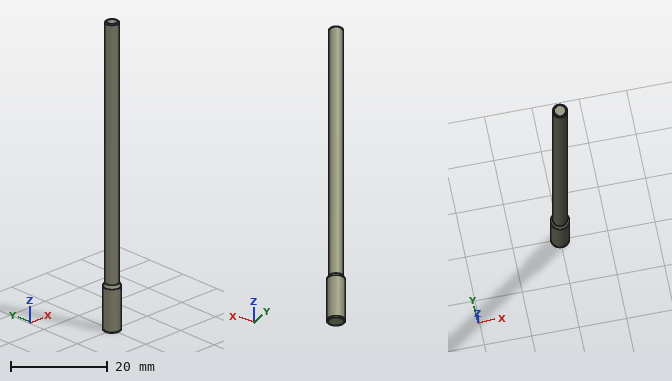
import cadquery as cq

total_length = 70.0
shank_diameter = 3.0
head_diameter = 3.9
head_length = 10.0
taper_length = 0.8
shank_chamfer = 0.3
head_chamfer = 0.3

bottom_z = -total_length / 2
top_z = total_length / 2
joint_z = bottom_z + head_length
taper_top_z = joint_z + taper_length

head_radius = head_diameter / 2
shank_radius = shank_diameter / 2


def revolve_about_z(profile):
    """Turn a closed half-profile of (radius, z) points about the Z axis."""
    return cq.Workplane("XZ").polyline(profile).close().revolve(360, (0, 0), (0, 1))


def make_head():
    """Thick lower cylinder with a chamfered free end and a flat joint face."""
    return revolve_about_z([
        (0, bottom_z),
        (head_radius - head_chamfer, bottom_z),
        (head_radius, bottom_z + head_chamfer),
        (head_radius, joint_z),
        (0, joint_z),
    ])


def make_shank():
    """Long slender rod that widens in a cone to meet the head."""
    return revolve_about_z([
        (0, joint_z),
        (head_radius, joint_z),
        (shank_radius, taper_top_z),
        (shank_radius, top_z - shank_chamfer),
        (shank_radius - shank_chamfer, top_z),
        (0, top_z),
    ])


head = make_head()
shank = make_shank()

result = cq.Compound.makeCompound([head.val(), shank.val()])